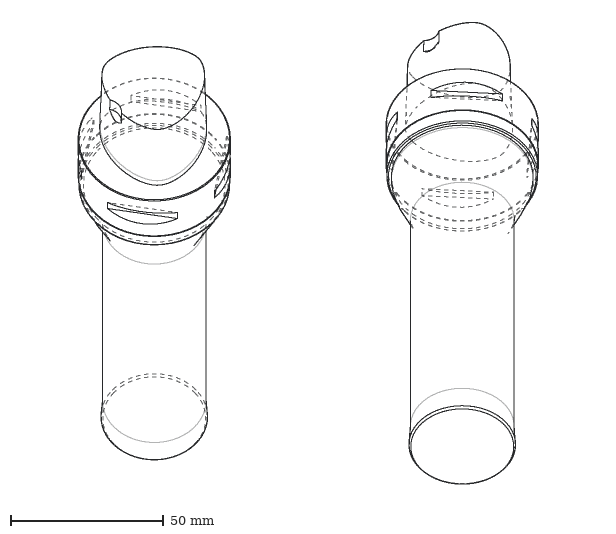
import cadquery as cq
import math


shank_height = 30.0
shank_base_width = 35.1
shank_base_height = 2.5
shank_taper = 1 / 20
shank_lobe = 1.3
outline_points = 36

notch_diameter = 10.2
notch_depth = 5.2
notch_cone_height = 7.3
notch_axis_y = -19.3

flange_diameter = 50.0
flange_height = 20.0
flange_chamfer = 0.3
groove_count = 4
groove_first_angle = 45.0
groove_middle_z = -10.0
groove_floor_height = 3.3
groove_floor_distance = 22.1
groove_flank_angle = 30.0
cut_clearance = 1.0

bar_end_z = -155.0
collar_diameter = 49.5
collar_bottom_z = -25.0
collar_chamfer = 0.5
neck_diameter = 46.5
neck_bottom_z = -26.6
shoulder_end_z = -46.2
bar_diameter = 34.0
flare_height = 9.8
tip_diameter = 35.0
tip_end_diameter = 33.8
tip_chamfer_height = 0.9


def shank_section(width, z):
    """Closed wire of a constant-width rounded triangle at height z."""

    def outline_point(angle):
        reach = width / 2 + shank_lobe * math.cos(3 * angle)
        slide = 3 * shank_lobe * math.sin(3 * angle)
        along_lobe = reach * math.cos(angle) + slide * math.sin(angle)
        across_lobe = reach * math.sin(angle) - slide * math.cos(angle)
        return cq.Vector(-across_lobe, along_lobe, z)

    points = [outline_point(2 * math.pi * i / outline_points) for i in range(outline_points)]
    return cq.Wire.assembleEdges([cq.Edge.makeSpline(points, periodic=True)])


def make_shank():
    taper_height = shank_height - shank_base_height
    top_width = shank_base_width - shank_taper * taper_height
    bottom = shank_section(shank_base_width, 0)
    taper_start = shank_section(shank_base_width, shank_base_height)
    top = shank_section(top_width, shank_height)
    base = cq.Solid.makeLoft([bottom, taper_start], True)
    taper = cq.Solid.makeLoft([taper_start, top], True)
    return cq.Workplane(base).union(cq.Workplane(taper))


def make_notch_cutter():
    radius = notch_diameter / 2
    floor_z = shank_height - notch_depth
    return (
        cq.Workplane("XZ")
        .moveTo(0, shank_height)
        .lineTo(radius, shank_height)
        .lineTo(radius, floor_z)
        .lineTo(0, floor_z - notch_cone_height)
        .close()
        .revolve(360, (0, 0), (0, 1))
        .translate((0, notch_axis_y, 0))
    )


def make_groove_cutter():
    """Straight groove across the +X side, with a flat floor and sloping flanks."""
    outer_x = flange_diameter / 2 + cut_clearance
    floor_half = groove_floor_height / 2
    flank_rise = (outer_x - groove_floor_distance) * math.tan(math.radians(groove_flank_angle))
    mouth_half = floor_half + flank_rise
    return (
        cq.Workplane("XZ")
        .moveTo(groove_floor_distance, -floor_half)
        .lineTo(outer_x, -mouth_half)
        .lineTo(outer_x, mouth_half)
        .lineTo(groove_floor_distance, floor_half)
        .close()
        .extrude(flange_diameter / 2, both=True)
        .translate((0, 0, groove_middle_z))
    )


def make_adapter():
    flange = (
        cq.Workplane("XY")
        .circle(flange_diameter / 2)
        .extrude(-flange_height)
        .faces(">Z")
        .chamfer(flange_chamfer)
    )
    cutter = make_groove_cutter()
    for i in range(groove_count):
        angle = groove_first_angle + i * 360 / groove_count
        flange = flange.cut(cutter.rotate((0, 0, 0), (0, 0, 1), angle))
    return flange.union(make_shank().cut(make_notch_cutter()))


def s_curve(start_radius, start_z, end_radius, end_z):
    """Bezier points after the start of a cubic that leaves and arrives parallel to Z."""
    handle = (end_z - start_z) / 3
    return [(start_radius, start_z + handle), (end_radius, end_z - handle), (end_radius, end_z)]


def make_bar():
    collar_radius = collar_diameter / 2
    neck_radius = neck_diameter / 2
    bar_radius = bar_diameter / 2
    tip_radius = tip_diameter / 2

    flare_start_z = bar_end_z + flare_height
    tip_edge_z = bar_end_z + tip_chamfer_height
    profile = (
        cq.Workplane("XZ")
        .moveTo(0, -flange_height)
        .lineTo(collar_radius, -flange_height)
        .lineTo(collar_radius, collar_bottom_z)
        .lineTo(collar_radius - collar_chamfer, collar_bottom_z - collar_chamfer)
        .lineTo(neck_radius, collar_bottom_z - collar_chamfer)
        .lineTo(neck_radius, neck_bottom_z)
        .bezier(s_curve(neck_radius, neck_bottom_z, bar_radius, shoulder_end_z), includeCurrent=True)
        .lineTo(bar_radius, flare_start_z)
        .bezier(s_curve(bar_radius, flare_start_z, tip_radius, tip_edge_z), includeCurrent=True)
        .lineTo(tip_end_diameter / 2, bar_end_z)
        .lineTo(0, bar_end_z)
        .close()
    )
    return profile.revolve(360, (0, 0), (0, 1))


adapter = make_adapter()
bar = make_bar()
result = cq.Compound.makeCompound([*adapter.solids().vals(), *bar.solids().vals()])